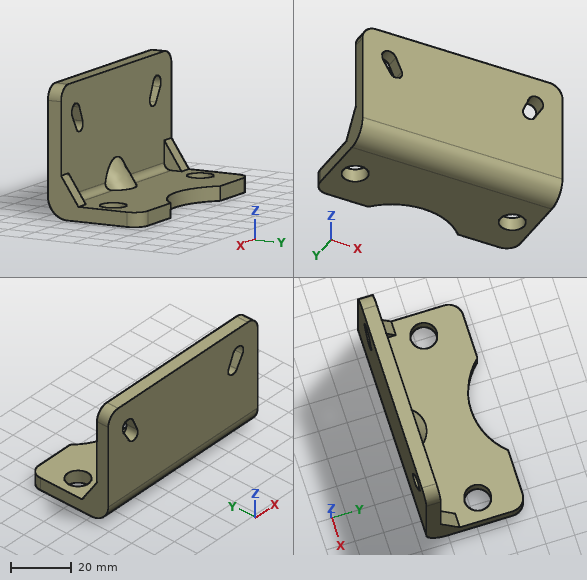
import cadquery as cq
import math

WIDTH = 75.0
DEPTH = 35.0
HEIGHT = 45.0
THICKNESS = 5.0
CORNER_RADIUS = 5.0
BEND_RADIUS = 7.5
INNER_BEND_RADIUS = BEND_RADIUS - THICKNESS

GUSSET_WIDTH = 5.0
GUSSET_DEPTH = 6.6
GUSSET_HEIGHT = 9.9
RIB_RADIUS = 8.0

HOLE_DIAMETER = 9.0
HOLE_X = 29.5
HOLE_Y = 20.4
NOTCH_WIDTH = 33.6
NOTCH_DEPTH = 7.5

SLOT_TOP_X = 27.5
SLOT_TOP_Z = 34.95
SLOT_TOP_RADIUS = 2.7
SLOT_BOTTOM_X = 25.0
SLOT_BOTTOM_Z = 30.1
SLOT_BOTTOM_RADIUS = 2.3


def make_bracket():
    """L-shaped bent plate with its free corners rounded."""
    plate = (
        cq.Workplane("YZ")
        .polyline([
            (0, 0),
            (DEPTH, 0),
            (DEPTH, THICKNESS),
            (THICKNESS, THICKNESS),
            (THICKNESS, HEIGHT),
            (0, HEIGHT),
        ])
        .close()
        .extrude(WIDTH / 2, both=True)
    )
    plate = plate.edges("|X and <Y and <Z").fillet(BEND_RADIUS)
    inner_bend = cq.selectors.NearestToPointSelector((0, THICKNESS, THICKNESS))
    plate = plate.edges(inner_bend).fillet(INNER_BEND_RADIUS)
    plate = plate.edges("|Z and >Y").fillet(CORNER_RADIUS)
    return plate.edges("|Y and >Z").fillet(CORNER_RADIUS)


def make_gusset(side):
    """Triangular gusset flush with one end of the bracket."""
    inner_x = WIDTH / 2 - GUSSET_WIDTH
    start_x = inner_x if side > 0 else -WIDTH / 2
    return (
        cq.Workplane("YZ", origin=(start_x, THICKNESS, THICKNESS))
        .polyline([(0, 0), (GUSSET_DEPTH, 0), (0, GUSSET_HEIGHT)])
        .close()
        .extrude(GUSSET_WIDTH)
    )


def make_center_rib():
    """Inclined round rib whose crest follows the slope of the gussets."""
    slope = cq.Vector(0, -GUSSET_DEPTH, GUSSET_HEIGHT)
    axis_y = THICKNESS + GUSSET_DEPTH - RIB_RADIUS
    footprint = cq.Wire.makeCircle(
        RIB_RADIUS, cq.Vector(0, axis_y, THICKNESS), cq.Vector(0, 0, 1)
    )
    cylinder = cq.Workplane(cq.Solid.extrudeLinear(footprint, [], slope))
    trim_block = cq.Workplane("XY").box(
        WIDTH, DEPTH, HEIGHT, centered=(True, False, False)
    )
    return cylinder.intersect(trim_block.translate((0, THICKNESS / 2, 0)))


def make_notch():
    """Circular-arc cutter for the back edge of the base plate."""
    half_width = NOTCH_WIDTH / 2
    radius = (half_width**2 + NOTCH_DEPTH**2) / (2 * NOTCH_DEPTH)
    center_y = DEPTH - NOTCH_DEPTH + radius
    return cq.Workplane("XY").center(0, center_y).circle(radius).extrude(THICKNESS)


def make_holes():
    """Cutters for the two mounting holes through the base plate."""
    return (
        cq.Workplane("XY")
        .pushPoints([(-HOLE_X, HOLE_Y), (HOLE_X, HOLE_Y)])
        .circle(HOLE_DIAMETER / 2)
        .extrude(THICKNESS)
    )


def make_slot(side):
    """Tapered slot cutter: two end arcs joined by their common tangents."""
    run_x = SLOT_BOTTOM_X - SLOT_TOP_X
    run_z = SLOT_BOTTOM_Z - SLOT_TOP_Z
    direction = math.atan2(run_z, run_x)
    tangent_angle = math.acos((SLOT_TOP_RADIUS - SLOT_BOTTOM_RADIUS) / math.hypot(run_x, run_z))

    def top_point(angle):
        x = SLOT_TOP_X + SLOT_TOP_RADIUS * math.cos(angle)
        return side * x, SLOT_TOP_Z + SLOT_TOP_RADIUS * math.sin(angle)

    def bottom_point(angle):
        x = SLOT_BOTTOM_X + SLOT_BOTTOM_RADIUS * math.cos(angle)
        return side * x, SLOT_BOTTOM_Z + SLOT_BOTTOM_RADIUS * math.sin(angle)

    return (
        cq.Workplane("XZ")
        .moveTo(*top_point(direction + tangent_angle))
        .threePointArc(top_point(direction + math.pi), top_point(direction - tangent_angle))
        .lineTo(*bottom_point(direction - tangent_angle))
        .threePointArc(bottom_point(direction), bottom_point(direction + tangent_angle))
        .close()
        .extrude(-THICKNESS)
    )


result = make_bracket()
for side in (-1, 1):
    result = result.union(make_gusset(side))
result = result.union(make_center_rib())
result = result.cut(make_notch())
result = result.cut(make_holes())
for side in (-1, 1):
    result = result.cut(make_slot(side))